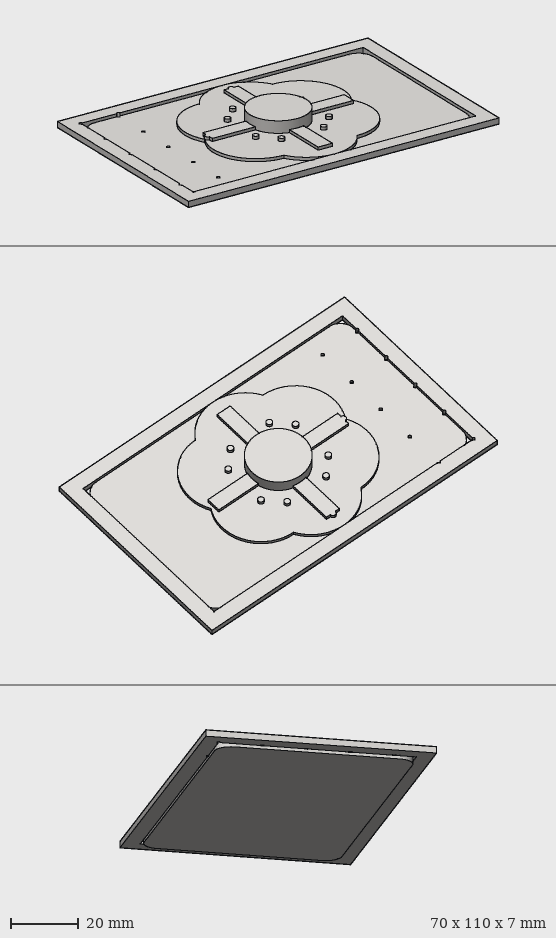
import cadquery as cq
import math

frame_length = 110.0
window_length = 100.0
window_width = 60.0
rim_width = (frame_length - window_length) / 2
frame_width = window_width + 2 * rim_width

layer = 1.0
frame_bottom = layer
frame_top = 3 * layer
plate_top = 2 * layer
rosette_top = 3 * layer
arm_top = 4 * layer
hub_top = 7.0

plate_corner_radius = 5.0

petal_count = 6
petal_radius = window_width / 4
petal_circle_radius = petal_radius
hub_diameter = 20.0
arm_width = hub_diameter / 4
arm_span = 50.0
stud_diameter = 2.0
stud_step = 30
arm_step = 90

hole_diameter = 1.0
hole_columns = 5
hole_rows = 2
hole_pitch = 13.3
hole_floor = frame_bottom


def slab(width, length, bottom, top):
    """Centred rectangular block between two heights."""
    return cq.Workplane("XY").workplane(offset=bottom).rect(width, length).extrude(top - bottom)


def cylinders(points, diameter, bottom, top):
    """Upright cylinders at the given points between two heights."""
    return (
        cq.Workplane("XY")
        .workplane(offset=bottom)
        .pushPoints(points)
        .circle(diameter / 2)
        .extrude(top - bottom)
    )


def on_circle(radius, degrees):
    angle = math.radians(degrees)
    return (radius * math.cos(angle), radius * math.sin(angle))


def make_frame():
    window = slab(window_width, window_length, frame_bottom, frame_top)
    return slab(frame_width, frame_length, frame_bottom, frame_top).cut(window)


def make_plate():
    plate = slab(window_width, window_length, 0, plate_top)
    return plate.edges("|Z").fillet(plate_corner_radius)


def make_rosette():
    rosette = cylinders([(0, 0)], 2 * petal_circle_radius, plate_top, rosette_top)
    for index in range(petal_count):
        center = on_circle(petal_circle_radius, index * 360 / petal_count)
        petal = cylinders([center], 2 * petal_radius, plate_top, rosette_top)
        rosette = rosette.union(petal)
    return rosette


def make_cross():
    arm_x = slab(arm_span, arm_width, plate_top, arm_top)
    arm_y = slab(arm_width, arm_span, plate_top, arm_top)
    return arm_x.union(arm_y)


def make_studs():
    ring = [
        on_circle(petal_circle_radius, angle)
        for angle in range(0, 360, stud_step)
        if angle % arm_step != 0
    ]
    tips = [(-arm_span / 2, 0), (0, -arm_span / 2)]
    return cylinders(ring + tips, stud_diameter, plate_top, arm_top)


def make_holes():
    points = [
        (-window_width / 2 + column * hole_pitch, -window_length / 2 + row * hole_pitch)
        for column in range(hole_columns)
        for row in range(hole_rows)
    ]
    return cylinders(points, hole_diameter, hole_floor, frame_top)


hub = cylinders([(0, 0)], hub_diameter, plate_top, hub_top)

result = (
    make_frame()
    .union(make_plate())
    .union(make_rosette())
    .union(make_cross())
    .union(make_studs())
    .union(hub)
    .cut(make_holes())
)